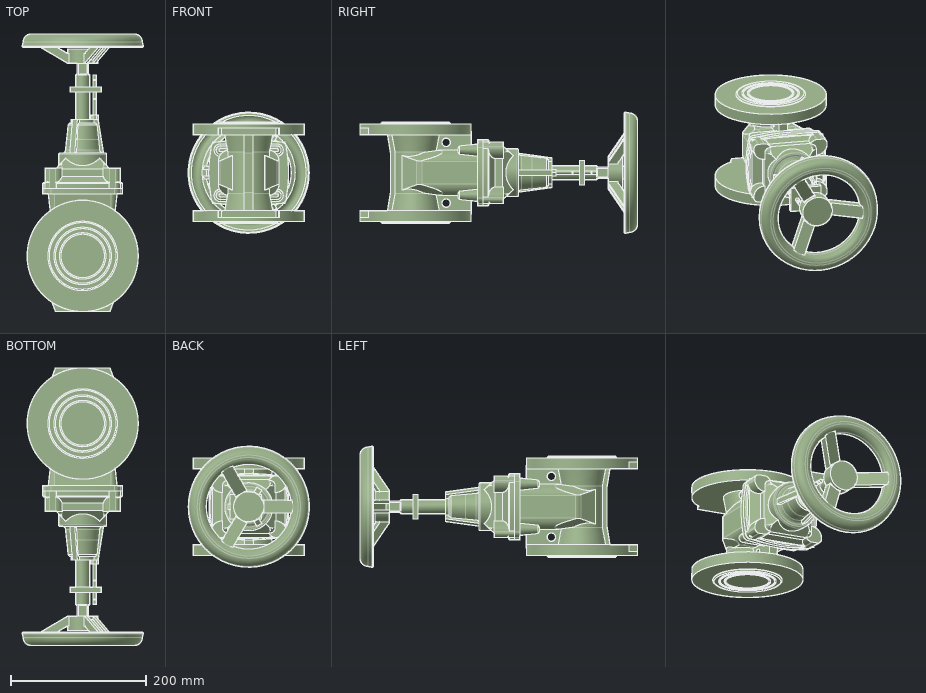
import cadquery as cq
import math


face_to_face = 150.0
flange_radius = 82.5
flange_thickness = 16.4
raised_face_height = 2.6
raised_face_radius = 51.5
raised_face_bevel = 2.0
ring_groove_radii = (33.3, 41.5)
ring_groove_width = 2.2
ring_groove_depth = 0.8
flange_outer = face_to_face / 2 - raised_face_height
flange_inner = flange_outer - flange_thickness

foot_top_half = 45.3
foot_bottom_half = 40.5
foot_top = -69.5
foot_thickness = 10.4

barrel_radius = 31.0
neck_radius = 35.7
neck_start = 30.8
web_half_width = 6.6
web_hole_diameter = 12.0
web_hole_y = 45.3
web_hole_z = 45.0
keel_low = -37.3
keel_at_flange = -41.7
keel_bend_z = 29.2
chest_half_x = 45.0
chest_half_z = 34.0
chest_flat_half_z = 16.7
chest_flat_top_half_x = chest_half_x - chest_half_z + chest_flat_half_z
chest_shoulder_y = 5.0
chest_bottom_half_x = 24.0
chest_bottom = -20.0
chest_bottom_half_z = 25.5
chest_taper_start = 39.0
chest_shoulder_radius = 12.0

joint_bottom = 92.0
joint_split = 100.0
joint_top = 109.0
joint_bevel = 1.8
joint_half_x = 55.7
joint_half_z = 45.6
joint_bulge = 3.6
joint_corner_radius = 8.5
boss_corner_radius = 6.8
cover_bow_half_x = 39.0
cover_bow_half_z = 36.0
boss_top = 130.0
boss_inner_x = 29.0
boss_inner_z = 21.2
boss_inner_radius = 11.0
boss_side_radius = 15.5
lug_x = 42.0
lug_z = 33.5
lug_radius = 9.2
lug_length = 27.0
lug_taper = 6.5
lug_tip_length = 2.5
lug_tip_taper = 58.0

bonnet_half = 40.0
bonnet_corner_radius = 9.0
bonnet_box_bottom = 118.0
bonnet_box_top = 129.0
bonnet_roof_height = 16.0
bonnet_roof_taper = 43.0
collar_radius = 35.6
collar_bottom = 132.0
collar_top = 152.5
collar_round = 2.0
tower_base_radius = 25.6
tower_flare = 4.5
tower_bend_y = 172.5
tower_bend_radius = 24.0
tower_top_radius = 21.8
tower_top = 196.7
tower_top_bevel = 2.5
gland_radius = 17.0
gland_top = 202.3
tower_rib_count = 3
tower_rib_width = 8.5
tower_rib_base_radius = 31.0
tower_rib_top_radius = 23.0

stem_radius = 10.5
stem_shoulder = 269.6
stem_shoulder_bevel = 1.5
stem_square_half = 8.5
plate_bottom = 242.5
plate_thickness = 7.9
plate_min_x = -18.5
plate_max_x = 27.6
plate_half_z = 18.4
rod_x = 17.8
rod_radius = 2.6
rod_groove_offset = 14.0
rod_groove_width = 1.6
rod_groove_depth = 0.6
rod_top = 268.0
rod_nut_width = 11.0
rod_nut_top = 208.4
hub_radius = 22.5
hub_bottom = 285.3
hub_top = 306.7
wheel_radius = 89.81
wheel_bottom = 308.6
overall_length = 411.45
wheel_top = overall_length - flange_radius
rim_inner_radius = 62.8
rim_lip_radius = 69.0
rim_lip_bottom = 310.5
rim_lip_root = 313.0
rim_lip_top = 319.0
rim_inner_round_mid = (66.0, 326.0)
rim_crown_inner_radius = 73.0
rim_crown_outer_radius = 76.5
rim_outer_round_mid = (85.0, 325.3)
rim_outer_round_end = (88.6, 317.0)
rim_edge_bevel = 1.4
rim_trough_outer_radius = 85.0
rim_trough_mid = (77.0, 323.0)
spoke_count = 3
spoke_half_width = 9.6
spoke_groove_half_width = 4.6
spoke_groove_depth = 5.0
spoke_depth = 14.7
spoke_end_radius = 67.0
spoke_slope = 0.59


def section_at(y):
    """Workplane across the stem axis at height y, extruding toward +Y."""
    return cq.Workplane(cq.Plane(origin=(0, y, 0), xDir=(1, 0, 0), normal=(0, 1, 0)))


def box(x_range, y_range, z_range):
    """Axis-aligned box between the given limits."""
    size = [high - low for low, high in (x_range, y_range, z_range)]
    corner = (x_range[0], y_range[0], z_range[0])
    return cq.Workplane("XY").box(*size, centered=False).translate(corner)


def around_stem(shape, count):
    """Copies of a shape evenly spaced about the stem axis."""
    copies = shape
    for index in range(1, count):
        copies = copies.union(shape.rotate((0, 0, 0), (0, 1, 0), index * 360 / count))
    return copies


def both_ends(shape):
    return shape.union(shape.mirror("XY"))


def end_flange():
    """Upper flange with raised face, seal grooves, foot and conical neck."""
    disc = cq.Workplane("XY").workplane(offset=flange_inner).circle(flange_radius).extrude(flange_thickness)
    face = (
        cq.Workplane("XY")
        .workplane(offset=flange_outer)
        .circle(raised_face_radius)
        .extrude(raised_face_height)
        .faces(">Z")
        .chamfer(raised_face_bevel)
    )
    foot = (
        cq.Workplane("XY")
        .workplane(offset=flange_inner)
        .polyline(
            [
                (-foot_top_half, foot_top),
                (-foot_bottom_half, -flange_radius),
                (foot_bottom_half, -flange_radius),
                (foot_top_half, foot_top),
            ]
        )
        .close()
        .extrude(foot_thickness)
    )
    neck = (
        cq.Workplane("XY")
        .workplane(offset=neck_start)
        .circle(barrel_radius)
        .workplane(offset=flange_inner - neck_start)
        .circle(neck_radius)
        .loft()
    )
    flange = disc.union(face).union(foot).union(neck)
    for radius in ring_groove_radii:
        groove = (
            cq.Workplane("XY")
            .workplane(offset=face_to_face / 2 - ring_groove_depth)
            .circle(radius + ring_groove_width / 2)
            .circle(radius - ring_groove_width / 2)
            .extrude(ring_groove_depth)
        )
        flange = flange.cut(groove)
    return flange


def webs():
    """Thin centre plate: lifting web with holes above, keel below the barrel."""
    outline = [
        (flange_radius, flange_inner),
        (keel_at_flange, flange_inner),
        (keel_low, keel_bend_z),
        (keel_low, -keel_bend_z),
        (keel_at_flange, -flange_inner),
        (flange_radius, -flange_inner),
    ]
    plate = cq.Workplane("YZ").polyline(outline).close().extrude(web_half_width, both=True)
    holes = (
        cq.Workplane("YZ")
        .pushPoints([(web_hole_y, web_hole_z), (web_hole_y, -web_hole_z)])
        .circle(web_hole_diameter / 2)
        .extrude(web_half_width, both=True)
    )
    return plate.cut(holes)


def chest_corner_relief():
    """Block whose lower face slices off a chest corner where it runs into the barrel."""
    corner_radius = chest_half_x - chest_flat_top_half_x
    arc_middle = corner_radius * math.sqrt(0.5)
    start = cq.Vector(chest_flat_top_half_x + arc_middle, chest_taper_start, chest_flat_half_z + arc_middle)
    side = cq.Vector(chest_half_x, chest_shoulder_y, chest_flat_half_z)
    end = cq.Vector(chest_bottom_half_x, chest_bottom, chest_bottom_half_z)
    outward = (end - start).cross(side - start)
    cut_plane = cq.Plane(origin=start.toTuple(), xDir=(end - start).toTuple(), normal=outward.toTuple())
    block_size = 2 * (chest_taper_start - chest_bottom)
    return cq.Workplane(cut_plane).rect(block_size, block_size).extrude(chest_half_z)


def chest():
    """Gate housing: rounded section, sloped into the barrel at its lower end."""
    corner_radius = chest_half_x - chest_flat_top_half_x
    section = (
        section_at(chest_bottom)
        .rect(2 * chest_half_x, 2 * chest_half_z)
        .extrude(joint_bottom - chest_bottom)
        .edges("|Y")
        .fillet(corner_radius)
    )
    front = (
        cq.Workplane("XY")
        .polyline(
            [
                (-chest_bottom_half_x, chest_bottom),
                (chest_bottom_half_x, chest_bottom),
                (chest_half_x, chest_shoulder_y),
                (chest_half_x, joint_bottom),
                (-chest_half_x, joint_bottom),
                (-chest_half_x, chest_shoulder_y),
            ]
        )
        .close()
        .extrude(chest_half_z, both=True)
        .edges("|Z and (>X or <X)")
        .edges("<Y")
        .fillet(chest_shoulder_radius)
    )
    side = (
        cq.Workplane("YZ")
        .polyline(
            [
                (joint_bottom, chest_half_z),
                (chest_taper_start, chest_half_z),
                (chest_bottom, chest_bottom_half_z),
                (chest_bottom, -chest_bottom_half_z),
                (chest_taper_start, -chest_half_z),
                (joint_bottom, -chest_half_z),
            ]
        )
        .close()
        .extrude(chest_half_x, both=True)
    )
    housing = section.intersect(front).intersect(side)
    relief = chest_corner_relief()
    pair = relief.union(relief.mirror("YZ"))
    return housing.cut(both_ends(pair))


def bowed_plate(bottom, height, half_x, half_z):
    """Plate with bowed sides, each bow spanning +-half_x or +-half_z, and straight cut corners."""
    bow_x = joint_half_x + joint_bulge
    bow_z = joint_half_z + joint_bulge
    return (
        section_at(bottom)
        .moveTo(-half_x, -joint_half_z)
        .threePointArc((0, -bow_z), (half_x, -joint_half_z))
        .lineTo(joint_half_x, -half_z)
        .threePointArc((bow_x, 0), (joint_half_x, half_z))
        .lineTo(half_x, joint_half_z)
        .threePointArc((0, bow_z), (-half_x, joint_half_z))
        .lineTo(-joint_half_x, half_z)
        .threePointArc((-bow_x, 0), (-joint_half_x, -half_z))
        .close()
        .extrude(height)
    )


def joint_plates():
    """Body flange with rounded corners, and the cover flange bowed between the bolt bosses."""
    body_height = joint_split - joint_bottom
    corners = (
        section_at(joint_bottom)
        .rect(2 * joint_half_x, 2 * joint_half_z)
        .extrude(body_height)
        .edges("|Y")
        .fillet(joint_corner_radius)
    )
    corner_x = joint_half_x - joint_corner_radius
    corner_z = joint_half_z - joint_corner_radius
    body_flange = corners.union(bowed_plate(joint_bottom, body_height, corner_x, corner_z))
    cover_flange = (
        bowed_plate(joint_split, joint_top - joint_split, cover_bow_half_x, cover_bow_half_z)
        .faces(">Y")
        .chamfer(joint_bevel)
    )
    return body_flange.union(cover_flange)


def bolt_bosses():
    """Four rounded bolt bosses standing on the joint corners."""
    boss = (
        box((boss_inner_x, joint_half_x), (joint_split, boss_top), (boss_inner_z, joint_half_z))
        .edges("|Y and >X and >Z")
        .fillet(boss_corner_radius)
        .edges("|Y and <X and >Z")
        .fillet(boss_inner_radius)
        .edges("|Y and >X and <Z")
        .fillet(boss_side_radius)
    )
    pair = boss.union(boss.mirror("YZ"))
    return pair.union(pair.mirror("XY"))


def bolt_lugs():
    """Two tapered lugs under the joint, running across between the bolts."""
    lug_plane = cq.Plane(origin=(0, joint_bottom, lug_z), xDir=(1, 0, 0), normal=(0, -1, 0))
    lug = (
        cq.Workplane(lug_plane)
        .slot2D(2 * (lug_x + lug_radius), 2 * lug_radius)
        .extrude(lug_length, taper=lug_taper)
    )
    end_radius = lug_radius - lug_length * math.tan(math.radians(lug_taper))
    tip = (
        cq.Workplane(lug_plane)
        .workplane(offset=lug_length)
        .slot2D(2 * (lug_x + end_radius), 2 * end_radius)
        .extrude(lug_tip_length, taper=lug_tip_taper)
    )
    return both_ends(lug.union(tip))


def bonnet():
    """Square bonnet with sloped skirt and roof, under a round collar."""
    skirt = (
        section_at(joint_top)
        .rect(2 * joint_half_x - 2 * joint_bevel, 2 * joint_half_z)
        .workplane(offset=bonnet_box_bottom - joint_top)
        .rect(2 * bonnet_half, 2 * bonnet_half)
        .loft()
    )
    block = (
        section_at(joint_top)
        .rect(2 * bonnet_half, 2 * bonnet_half)
        .extrude(bonnet_box_top - joint_top)
        .edges("|Y")
        .fillet(bonnet_corner_radius)
    )
    roof = (
        section_at(bonnet_box_top)
        .sketch()
        .rect(2 * bonnet_half, 2 * bonnet_half)
        .vertices()
        .fillet(bonnet_corner_radius)
        .finalize()
        .extrude(bonnet_roof_height, taper=bonnet_roof_taper)
    )
    return skirt.union(block).union(roof)


def tower():
    """Collar, conical packing tower and gland on the bonnet."""
    body = (
        cq.Workplane("XY")
        .moveTo(0, collar_bottom)
        .lineTo(collar_radius, collar_bottom)
        .lineTo(collar_radius, collar_top - collar_round)
        .radiusArc((collar_radius - collar_round, collar_top), -collar_round)
        .lineTo(tower_base_radius + tower_flare, collar_top)
        .radiusArc((tower_base_radius, collar_top + tower_flare), tower_flare)
        .lineTo(tower_bend_radius, tower_bend_y)
        .lineTo(tower_top_radius, tower_top - tower_top_bevel)
        .lineTo(tower_top_radius - tower_top_bevel, tower_top)
        .lineTo(gland_radius, tower_top)
        .lineTo(gland_radius, gland_top)
        .lineTo(0, gland_top)
        .close()
        .revolve(360, (0, 0), (0, 1))
    )
    rib = (
        cq.Workplane("XY")
        .polyline(
            [
                (0, collar_top),
                (tower_rib_base_radius, collar_top),
                (tower_rib_top_radius, gland_top),
                (0, gland_top),
            ]
        )
        .close()
        .extrude(tower_rib_width / 2, both=True)
    )
    return body.union(around_stem(rib, tower_rib_count))


def stem():
    """Round stem with a squared end running into the handwheel hub."""
    shaft = (
        section_at(gland_top)
        .circle(stem_radius)
        .extrude(stem_shoulder - gland_top)
        .faces(">Y")
        .chamfer(stem_shoulder_bevel)
    )
    square = (
        section_at(stem_shoulder - stem_shoulder_bevel)
        .rect(2 * stem_square_half, 2 * stem_square_half)
        .extrude(hub_top - stem_shoulder + stem_shoulder_bevel)
    )
    blank = section_at(gland_top).circle(stem_radius).extrude(hub_top - gland_top)
    return shaft.union(square.intersect(blank))


def indicator():
    """Travel plate on the stem, guided by a rod with a hexagon nut."""
    plate = box(
        (plate_min_x, plate_max_x),
        (plate_bottom, plate_bottom + plate_thickness),
        (-plate_half_z, plate_half_z),
    )
    rod = section_at(tower_top).center(rod_x, 0).circle(rod_radius).extrude(rod_top - tower_top)
    plate_middle = plate_bottom + plate_thickness / 2
    for side in (-1, 1):
        groove = (
            section_at(plate_middle + side * rod_groove_offset - rod_groove_width / 2)
            .center(rod_x, 0)
            .circle(rod_radius)
            .circle(rod_radius - rod_groove_depth)
            .extrude(rod_groove_width)
        )
        rod = rod.cut(groove)
    nut = section_at(gland_top).center(rod_x, 0).polygon(6, rod_nut_width).extrude(rod_nut_top - gland_top)
    return plate.union(rod).union(nut)


def wheel_rim():
    """Hollow rim, open toward the valve."""
    return (
        cq.Workplane("XY")
        .moveTo(rim_inner_radius, rim_lip_bottom)
        .lineTo(rim_inner_radius, rim_lip_top)
        .threePointArc(rim_inner_round_mid, (rim_crown_inner_radius, wheel_top))
        .lineTo(rim_crown_outer_radius, wheel_top)
        .threePointArc(rim_outer_round_mid, rim_outer_round_end)
        .lineTo(wheel_radius, wheel_bottom + 2 * rim_edge_bevel)
        .lineTo(wheel_radius, wheel_bottom + rim_edge_bevel)
        .lineTo(wheel_radius - rim_edge_bevel, wheel_bottom)
        .lineTo(rim_trough_outer_radius, wheel_bottom)
        .threePointArc(rim_trough_mid, (rim_lip_radius, rim_lip_root))
        .close()
        .revolve(360, (0, 0), (0, 1))
    )


def wheel_spoke():
    """Rising spoke toward -X, grooved along its lower side."""
    end_rise = spoke_slope * (spoke_end_radius - hub_radius)

    def bar(half_width, depth):
        return (
            cq.Workplane("XY")
            .polyline(
                [
                    (-hub_radius / 2, hub_bottom),
                    (-hub_radius, hub_bottom),
                    (-spoke_end_radius, hub_bottom + end_rise),
                    (-spoke_end_radius, hub_bottom + end_rise + depth),
                    (-hub_radius, hub_bottom + depth),
                    (-hub_radius / 2, hub_bottom + depth),
                ]
            )
            .close()
            .extrude(half_width, both=True)
        )

    groove = bar(spoke_groove_half_width, spoke_groove_depth)
    return bar(spoke_half_width, spoke_depth).cut(groove)


def handwheel():
    hub = section_at(hub_bottom).circle(hub_radius).extrude(hub_top - hub_bottom)
    spokes = around_stem(wheel_spoke(), spoke_count)
    envelope = section_at(hub_bottom).circle(spoke_end_radius).extrude(wheel_top - hub_bottom)
    return wheel_rim().union(spokes.intersect(envelope)).union(hub)


barrel = cq.Workplane("XY").circle(barrel_radius).extrude(neck_start, both=True)

result = barrel
for piece in (
    both_ends(end_flange()),
    webs(),
    chest(),
    bolt_lugs(),
    joint_plates(),
    bolt_bosses(),
    bonnet(),
    tower(),
    stem(),
    indicator(),
    handwheel(),
):
    result = result.union(piece)